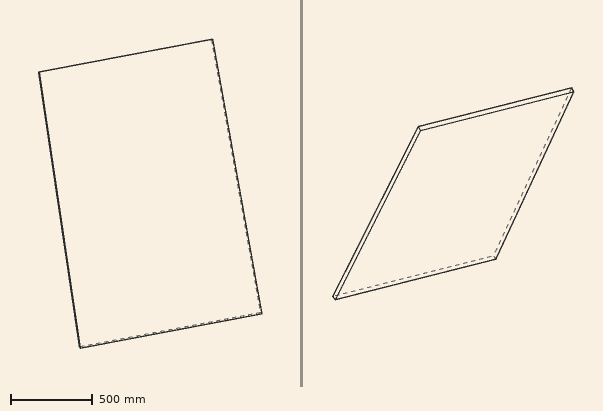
import cadquery as cq

size_x = 943.0
size_y = 1162.0
size_z = 1500.0

upper_width = 1108.0
lower_end_run = 28.0
upper_end_run = 24.0
upper_end_rise = 20.0

face_run = size_x - lower_end_run
face_rise = size_z - upper_end_rise

slope = face_rise / face_run
lower_end_rise = upper_end_rise - slope * (lower_end_run - upper_end_run)

section = [
    (0, face_rise),
    (face_run, 0),
    (size_x, lower_end_rise),
    (upper_end_run, size_z),
]
panel = cq.Workplane("XZ").polyline(section).close().extrude(-size_y)

plan = [
    (0, 0),
    (size_x, 0),
    (size_x, size_y),
    (0, upper_width),
]
tapered_block = cq.Workplane("XY").polyline(plan).close().extrude(size_z)

result = panel.intersect(tapered_block)